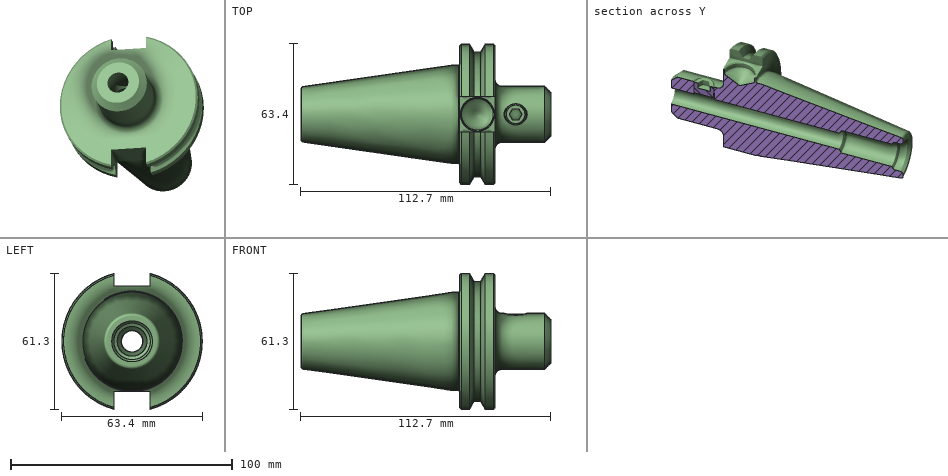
import cadquery as cq
import math

overall_length = 112.7

shank_end_radius = 12.4
shank_end_rounding = 1.4
gauge_radius = 44.4 / 2
taper_length = 68.3
taper_slope = (gauge_radius - shank_end_radius) / taper_length
root_fillet = 0.5

flange_start = 71.5
flange_width = 16.0
flange_end = flange_start + flange_width
flange_middle = flange_start + flange_width / 2
flange_radius = 31.7
flange_chamfer = 0.8
groove_radius = 28.2
groove_floor_width = 3.0
groove_top_width = 7.1

nose_radius = 25.4 / 2
nose_fillet = 3.0
nose_chamfer = 3.0

mouth_diameter = 18.4
thread_relief_diameter = 16.5
thread_diameter = 13.4
through_diameter = 9.6
mouth_cone_depth = 1.4
thread_relief_depth = 4.7
thread_depth = 30.0
step_cone_angle = 120.0

slot_width = 16.1
upper_slot_floor = 25.0
lower_slot_floor = 22.7

pocket_diameter = 14.3
pocket_rim_diameter = 15.3
pocket_rim_chamfer = (pocket_rim_diameter - pocket_diameter) / 2
pocket_depth = 3.0
pocket_tip_angle = 118.0

screw_x = 96.7
screw_diameter = 9.6
screw_top = 12.4
screw_bottom = 5.6
screw_chamfer = (screw_diameter - 8.3) / 2
hex_flats = 5.0
hex_depth = 3.0
screw_hole_rim_diameter = 10.5


def turned_body():
    """Revolved outer shape: taper, flange with V groove, and nose."""
    groove_floor_half = groove_floor_width / 2
    groove_top_half = groove_top_width / 2
    rim_radius = flange_radius - flange_chamfer
    rounding_radius = shank_end_radius + taper_slope * shank_end_rounding
    rounding_mid = shank_end_rounding * (1 - math.sqrt(0.5))
    fillet_mid = nose_fillet * (1 - math.sqrt(0.5))
    root_mid = root_fillet * (1 - math.sqrt(0.5))
    return (
        cq.Workplane("XY")
        .lineTo(0, rounding_radius - shank_end_rounding)
        .threePointArc(
            (rounding_mid, rounding_radius - rounding_mid),
            (shank_end_rounding, rounding_radius),
        )
        .lineTo(taper_length, gauge_radius)
        .lineTo(flange_start - root_fillet, gauge_radius)
        .threePointArc(
            (flange_start - root_mid, gauge_radius + root_mid),
            (flange_start, gauge_radius + root_fillet),
        )
        .lineTo(flange_start, rim_radius)
        .lineTo(flange_start + flange_chamfer, flange_radius)
        .lineTo(flange_middle - groove_top_half, flange_radius)
        .lineTo(flange_middle - groove_floor_half, groove_radius)
        .lineTo(flange_middle + groove_floor_half, groove_radius)
        .lineTo(flange_middle + groove_top_half, flange_radius)
        .lineTo(flange_end - flange_chamfer, flange_radius)
        .lineTo(flange_end, rim_radius)
        .lineTo(flange_end, nose_radius + nose_fillet)
        .threePointArc(
            (flange_end + fillet_mid, nose_radius + fillet_mid),
            (flange_end + nose_fillet, nose_radius),
        )
        .lineTo(overall_length - nose_chamfer, nose_radius)
        .lineTo(overall_length, nose_radius - nose_chamfer)
        .lineTo(overall_length, 0)
        .close()
        .revolve(360, (0, 0, 0), (1, 0, 0))
    )


def bore():
    """Stepped bore along the whole axis, with conical steps and a conical mouth."""
    step_slope = math.tan(math.radians(step_cone_angle / 2))
    thread_start = thread_relief_depth + (thread_relief_diameter - thread_diameter) / 2 / step_slope
    through_start = thread_depth + (thread_diameter - through_diameter) / 2 / step_slope
    return (
        cq.Workplane("XY")
        .lineTo(0, mouth_diameter / 2)
        .lineTo(mouth_cone_depth, thread_relief_diameter / 2)
        .lineTo(thread_relief_depth, thread_relief_diameter / 2)
        .lineTo(thread_start, thread_diameter / 2)
        .lineTo(thread_depth, thread_diameter / 2)
        .lineTo(through_start, through_diameter / 2)
        .lineTo(overall_length, through_diameter / 2)
        .lineTo(overall_length, 0)
        .close()
        .revolve(360, (0, 0, 0), (1, 0, 0))
    )


def drive_slot(floor, side):
    """Slot through the flange; side is +1 for the top and -1 for the bottom."""
    height = flange_radius - floor
    middle_z = side * (floor + height / 2)
    slot = cq.Workplane("XY").box(flange_width, slot_width, height)
    return slot.translate((flange_middle, 0, middle_z))


def slot_pocket():
    """Drilled pocket with a conical bottom and a chamfered rim."""
    radius = pocket_diameter / 2
    tip_depth = radius / math.tan(math.radians(pocket_tip_angle / 2))
    return (
        cq.Workplane("XZ")
        .lineTo(pocket_rim_diameter / 2, 0)
        .lineTo(radius, -pocket_rim_chamfer)
        .lineTo(radius, -pocket_depth)
        .lineTo(0, -pocket_depth - tip_depth)
        .close()
        .revolve(360, (0, 0, 0), (0, 1, 0))
        .translate((flange_middle, 0, upper_slot_floor))
    )


def screw_hole():
    """Radial hole from the nose surface into the bore, with a countersunk rim."""
    radius = screw_diameter / 2
    rim_radius = screw_hole_rim_diameter / 2
    countersink_bottom = nose_radius - (rim_radius - radius)
    return (
        cq.Workplane("XZ")
        .lineTo(radius, 0)
        .lineTo(radius, countersink_bottom)
        .lineTo(rim_radius, nose_radius)
        .lineTo(0, nose_radius)
        .close()
        .revolve(360, (0, 0, 0), (0, 1, 0))
        .translate((screw_x, 0, 0))
    )


def make_holder():
    holder = turned_body().cut(bore())
    holder = holder.cut(drive_slot(upper_slot_floor, 1))
    holder = holder.cut(drive_slot(lower_slot_floor, -1))
    holder = holder.cut(slot_pocket())
    return holder.cut(screw_hole())


def make_clamping_screw():
    """Headless screw with a hexagon socket in its top face."""
    hex_corner_diameter = hex_flats / math.cos(math.pi / 6)
    return (
        cq.Workplane("XY", origin=(screw_x, 0, screw_bottom))
        .circle(screw_diameter / 2)
        .extrude(screw_top - screw_bottom)
        .faces(">Z")
        .chamfer(screw_chamfer)
        .faces(">Z")
        .workplane()
        .polygon(6, hex_corner_diameter)
        .cutBlind(-hex_depth)
    )


holder = make_holder()
clamping_screw = make_clamping_screw()
result = cq.Compound.makeCompound([holder.val(), clamping_screw.val()])